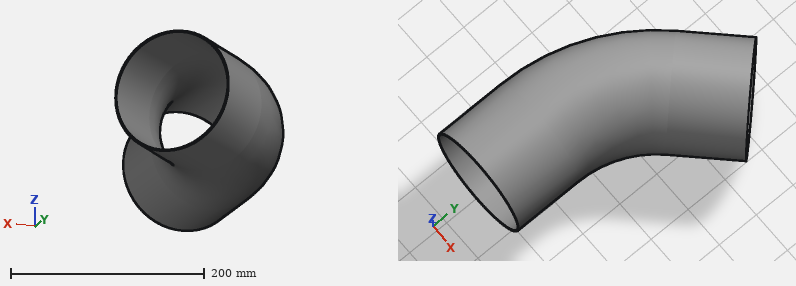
import cadquery as cq
import math

outer_diameter = 129.0
inner_diameter = 126.0
bend_radius = 187.5
bend_angle = math.radians(45)
overall_length = 319.0

bend_rise = (bend_radius + outer_diameter / 2) * math.sin(bend_angle)
leg_length = (overall_length - bend_rise) / (1 + math.cos(bend_angle))


def centreline():
    """Path of the pipe axis, starting at the origin."""
    def bend_point(turn):
        return (
            bend_radius * (1 - math.cos(turn)),
            leg_length + bend_radius * math.sin(turn),
        )

    bend_end = bend_point(bend_angle)
    leg_end = (
        bend_end[0] + leg_length * math.sin(bend_angle),
        bend_end[1] + leg_length * math.cos(bend_angle),
    )
    return (
        cq.Workplane("XY")
        .lineTo(0, leg_length)
        .threePointArc(bend_point(bend_angle / 2), bend_end)
        .lineTo(*leg_end)
    )


wall_section = cq.Workplane("XZ").circle(outer_diameter / 2).circle(inner_diameter / 2)
result = wall_section.sweep(centreline())